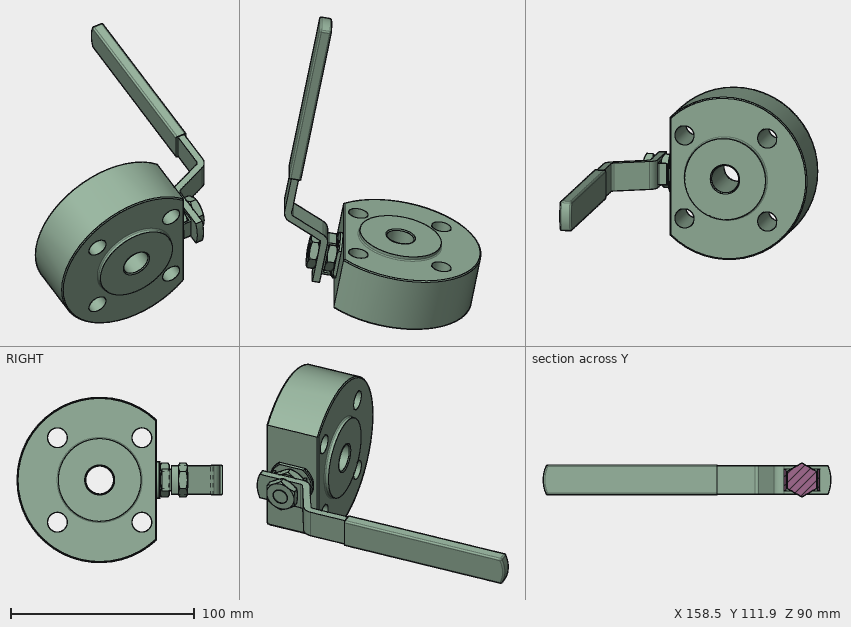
import cadquery as cq
import math


OVERALL_LENGTH = 158.5

DISC_RADIUS = 45.0
DISC_WIDTH = 30.5
FLAT_Y = 31.0
DISC_CHAMFER = 0.6
FACE_DIAMETER = 45.0
FACE_TO_FACE = 35.3
FACE_BASE_FILLET = 0.6
BORE_DIAMETER = 15.0
BORE_CHAMFER = 0.6
BOLT_HOLE_DIAMETER = 10.6
BOLT_SPACING = 46

GLAND_DIAMETER = 25.2
GLAND_WIDTH = 20.0
GLAND_THICKNESS = 1.9
GLAND_CHAMFER = 0.6
NUT_FLATS = 16.2
NUT_CONE_ANGLE = 30
NUT_SIDES = 6
HALF_NUT_STEP = 180 / NUT_SIDES
LOWER_NUT_THICKNESS = 4.9
CLIP_THICKNESS = 1.1
CLIP_SPAN = 19.6
CLIP_WIDTH = 11.7
CLIP_DEPTH = 5.0
CLIP_BEND_RADIUS = 1.0
CLIP_GAP = 17.1
UPPER_NUT_THICKNESS = 4.8
STEM_DIAMETER = 8.4
STEM_PROJECTION = 0.5

LEVER_THICKNESS = 4.0
LEVER_WIDTH = 15.5
LEVER_END_X = 15.8
LEVER_BULGE = 1.6
LOWER_BEND_X = -12.4
UPPER_BEND_X = -22.8
LEVER_RISE = 22.7
INNER_BEND_RADIUS = 2.0
OUTER_BEND_RADIUS = INNER_BEND_RADIUS + LEVER_THICKNESS
GRIP_TIP_X = FACE_TO_FACE / 2 - OVERALL_LENGTH
GRIP_END_X = -46.1
GRIP_THICKNESS = 6.5
GRIP_WIDTH = 16.3
GRIP_CORNER_RADIUS = 1.1
GRIP_RIM_FILLET = 1.0
GRIP_BULGE = 1.9

GLAND_TOP_Y = FLAT_Y + GLAND_THICKNESS
LOWER_NUT_TOP_Y = GLAND_TOP_Y + LOWER_NUT_THICKNESS
LEVER_BASE_Y = LOWER_NUT_TOP_Y + CLIP_THICKNESS
LEVER_TOP_Y = LEVER_BASE_Y + LEVER_THICKNESS
UPPER_NUT_TOP_Y = LEVER_TOP_Y + UPPER_NUT_THICKNESS
GRIP_MID_Y = LEVER_BASE_Y + LEVER_THICKNESS / 2 + LEVER_RISE


def stem_plane(y):
    """Sketch plane across the stem: local x is X, local y is Z, extruding towards +Y."""
    return cq.Workplane(cq.Plane(origin=(0, y, 0), xDir=(1, 0, 0), normal=(0, 1, 0)))


def bore_plane(x):
    """Sketch plane across the bore: local x is Y, local y is Z, extruding towards +X."""
    return cq.Workplane("YZ").workplane(offset=x)


def make_body():
    disc = bore_plane(-DISC_WIDTH / 2).circle(DISC_RADIUS).extrude(DISC_WIDTH)
    above_flat = cq.Workplane("XY").box(DISC_WIDTH, DISC_RADIUS, 2 * DISC_RADIUS)
    above_flat = above_flat.translate((0, FLAT_Y + DISC_RADIUS / 2, 0))
    body = disc.cut(above_flat).faces("<X or >X").chamfer(DISC_CHAMFER)

    body = body.union(
        bore_plane(-FACE_TO_FACE / 2).circle(FACE_DIAMETER / 2).extrude(FACE_TO_FACE))
    circles_about_bore = body.edges("%CIRCLE").edges(cq.selectors.RadiusNthSelector(0))
    face_bases = circles_about_bore.edges("not (<X or >X)")
    body = face_bases.fillet(FACE_BASE_FILLET)

    bore = bore_plane(-FACE_TO_FACE / 2).circle(BORE_DIAMETER / 2).extrude(FACE_TO_FACE)
    bolt_holes = (
        bore_plane(-DISC_WIDTH / 2)
        .rect(BOLT_SPACING, BOLT_SPACING, forConstruction=True)
        .vertices()
        .circle(BOLT_HOLE_DIAMETER / 2)
        .extrude(DISC_WIDTH)
    )
    body = body.cut(bore).cut(bolt_holes)
    bore_rims = cq.selectors.RadiusNthSelector(0)
    return body.faces("<X or >X").edges(bore_rims).chamfer(BORE_CHAMFER)


def make_gland():
    """Turned collar with a chamfered rim, cut to flats facing +Z and -Z."""
    collar = stem_plane(FLAT_Y).circle(GLAND_DIAMETER / 2).extrude(GLAND_THICKNESS)
    collar = collar.faces(">Y").chamfer(GLAND_CHAMFER)
    flats = stem_plane(FLAT_Y).rect(GLAND_DIAMETER, GLAND_WIDTH).extrude(GLAND_THICKNESS)
    return collar.intersect(flats)


def make_nut(base_y, thickness):
    """Hexagon nut with flats facing +X and -X and both ends turned to 30 degree cones."""
    corner_radius = NUT_FLATS / math.sqrt(3)
    hexagon = (
        stem_plane(base_y)
        .transformed(rotate=(0, 0, HALF_NUT_STEP))
        .polygon(NUT_SIDES, 2 * corner_radius)
        .extrude(thickness)
    )
    face_radius = NUT_FLATS / 2
    drop = (corner_radius - face_radius) * math.tan(math.radians(NUT_CONE_ANGLE))
    top_y = base_y + thickness
    envelope = (
        cq.Workplane("XY")
        .moveTo(0, base_y)
        .lineTo(face_radius, base_y)
        .lineTo(corner_radius, base_y + drop)
        .lineTo(corner_radius, top_y - drop)
        .lineTo(face_radius, top_y)
        .lineTo(0, top_y)
        .close()
        .revolve(360, (0, 0, 0), (0, 1, 0))
    )
    return hexagon.intersect(envelope)


def make_clip():
    """Locking clip: a plate under the lever with a tab bent down beside each X flat of the nut."""
    block = cq.Workplane("XY").box(CLIP_SPAN, CLIP_DEPTH, CLIP_WIDTH)
    block = block.translate((0, LEVER_BASE_Y - CLIP_DEPTH / 2, 0))
    block = block.edges("|Z and >Y").fillet(CLIP_BEND_RADIUS)
    gap = cq.Workplane("XY").box(CLIP_GAP, CLIP_DEPTH, CLIP_WIDTH)
    gap = gap.translate((0, LOWER_NUT_TOP_Y - CLIP_DEPTH / 2, 0))
    return block.cut(gap)


def make_stem():
    length = UPPER_NUT_TOP_Y + STEM_PROJECTION - FLAT_Y
    return stem_plane(FLAT_Y).circle(STEM_DIAMETER / 2).extrude(length)


def bulged_strip(tip_x, square_x, bulge, width, thickness, mid_y):
    """Flat strip along X whose end at tip_x bulges out in an arc across its width."""
    inward = math.copysign(bulge, square_x - tip_x)
    shoulder_x = tip_x + inward
    return (
        stem_plane(mid_y - thickness / 2)
        .moveTo(square_x, -width / 2)
        .lineTo(shoulder_x, -width / 2)
        .threePointArc((tip_x, 0), (shoulder_x, width / 2))
        .lineTo(square_x, width / 2)
        .close()
        .extrude(thickness)
    )


def make_lever():
    """Flat bar cranked between two equal bends, with a bulged end beyond the stem."""
    slope = math.atan2(LEVER_RISE, LOWER_BEND_X - UPPER_BEND_X)
    corner_shift = LEVER_THICKNESS / 2 * math.tan(slope / 2)
    upper_y = GRIP_MID_Y + LEVER_THICKNESS / 2
    bar = (
        cq.Workplane("XY")
        .moveTo(LEVER_END_X, LEVER_BASE_Y)
        .lineTo(LOWER_BEND_X - corner_shift, LEVER_BASE_Y)
        .lineTo(UPPER_BEND_X - corner_shift, upper_y - LEVER_THICKNESS)
        .lineTo(GRIP_END_X, upper_y - LEVER_THICKNESS)
        .lineTo(GRIP_END_X, upper_y)
        .lineTo(UPPER_BEND_X + corner_shift, upper_y)
        .lineTo(LOWER_BEND_X + corner_shift, LEVER_TOP_Y)
        .lineTo(LEVER_END_X, LEVER_TOP_Y)
        .close()
        .extrude(LEVER_WIDTH / 2, both=True)
    )
    inner_corners = [
        (LOWER_BEND_X + corner_shift, LEVER_TOP_Y, 0),
        (UPPER_BEND_X - corner_shift, upper_y - LEVER_THICKNESS, 0),
    ]
    outer_corners = [
        (LOWER_BEND_X - corner_shift, LEVER_BASE_Y, 0),
        (UPPER_BEND_X + corner_shift, upper_y, 0),
    ]
    for corner in inner_corners:
        bar = bar.edges(cq.selectors.NearestToPointSelector(corner)).fillet(INNER_BEND_RADIUS)
    for corner in outer_corners:
        bar = bar.edges(cq.selectors.NearestToPointSelector(corner)).fillet(OUTER_BEND_RADIUS)

    bulged_envelope = bulged_strip(
        LEVER_END_X, GRIP_END_X, LEVER_BULGE, LEVER_WIDTH,
        upper_y - LEVER_BASE_Y, (LEVER_BASE_Y + upper_y) / 2)
    return bar.intersect(bulged_envelope)


def make_grip():
    grip = bulged_strip(
        GRIP_TIP_X, GRIP_END_X, GRIP_BULGE, GRIP_WIDTH, GRIP_THICKNESS, GRIP_MID_Y)
    grip = grip.edges("|Y").edges("not >X").fillet(GRIP_CORNER_RADIUS)
    rims = grip.faces("<Y or >Y").edges("not >X")
    return rims.fillet(GRIP_RIM_FILLET)


result = make_body()
for component in (
    make_gland(),
    make_nut(GLAND_TOP_Y, LOWER_NUT_THICKNESS),
    make_clip(),
    make_lever(),
    make_grip(),
    make_nut(LEVER_TOP_Y, UPPER_NUT_THICKNESS),
    make_stem(),
):
    result = result.union(component)